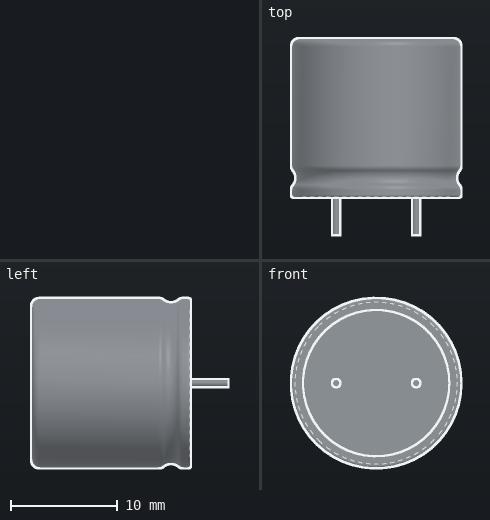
import cadquery as cq
import math


total_length = 18.5
can_diameter = 16.0
lead_length = 3.5
can_length = total_length - lead_length
can_radius = can_diameter / 2

rear_round = 0.8
rim_round = 0.28

groove_centre = 1.89
groove_half_width = 1.1
groove_depth = 0.4
shoulder_radius = 0.6

seal_diameter = 13.7
seal_recess = 0.1

lead_diameter = 0.8
lead_pitch = 7.5


def point_on_circle(centre, radius, angle):
    """Point on a circle in the (radial, axial) plane; the angle starts at the radial direction."""
    return (centre[0] + radius * math.cos(angle), centre[1] + radius * math.sin(angle))


def make_can():
    blend_radius = (groove_half_width**2 + groove_depth**2) / (2 * groove_depth)
    turn = math.asin(groove_half_width / blend_radius)

    groove_front = groove_centre - groove_half_width
    groove_rear = groove_centre + groove_half_width
    shoulder_axis_radius = can_radius - shoulder_radius
    front_shoulder = (shoulder_axis_radius, groove_front)
    rear_shoulder = (shoulder_axis_radius, groove_rear)
    groove_bottom = (can_radius - groove_depth, groove_centre)

    rim_centre = (can_radius - rim_round, rim_round)
    rear_centre = (can_radius - rear_round, can_length - rear_round)
    eighth_turn = math.pi / 4

    profile = (
        cq.Workplane("XY")
        .moveTo(0, 0)
        .lineTo(rim_centre[0], 0)
        .threePointArc(point_on_circle(rim_centre, rim_round, -eighth_turn), (can_radius, rim_round))
        .lineTo(can_radius, groove_front)
        .threePointArc(
            point_on_circle(front_shoulder, shoulder_radius, turn / 2),
            point_on_circle(front_shoulder, shoulder_radius, turn),
        )
        .threePointArc(groove_bottom, point_on_circle(rear_shoulder, shoulder_radius, -turn))
        .threePointArc(
            point_on_circle(rear_shoulder, shoulder_radius, -turn / 2),
            (can_radius, groove_rear),
        )
        .lineTo(can_radius, rear_centre[1])
        .threePointArc(point_on_circle(rear_centre, rear_round, eighth_turn), (rear_centre[0], can_length))
        .lineTo(0, can_length)
        .close()
    )
    return profile.revolve(360, (0, 0, 0), (0, 1, 0))


def cylinder_along_y(diameter, y_start, y_end, x=0.0):
    disc = cq.Workplane("XZ", origin=(x, y_end, 0)).circle(diameter / 2)
    return disc.extrude(y_end - y_start)


result = make_can().cut(cylinder_along_y(seal_diameter, 0, seal_recess))

for side in (-1, 1):
    lead = cylinder_along_y(lead_diameter, -lead_length, seal_recess, side * lead_pitch / 2)
    result = result.union(lead)